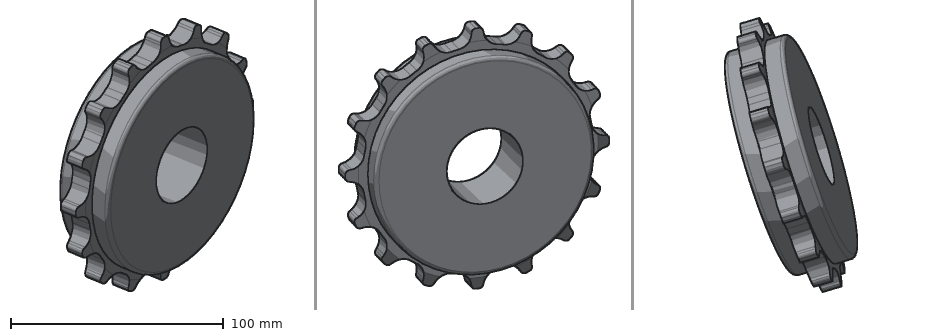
import cadquery as cq
import math

hub_width = 30.0
hub_radius = 55.1
hub_rim_fillet = 2.0
bore_radius = 19.0

tooth_count = 16
tip_radius = 66.0
root_radius = 57.7
seat_radius = 7.7
flank_length = 1.3
root_half_length = 1.8
tip_fillet = 2.1

tooth_width = 10.8
tip_width = 9.1
relief_start_radius = 60.0

hub_face = cq.Workplane("YZ", origin=(-hub_width / 2, 0, 0))
pitch_angle = 2 * math.pi / tooth_count


def polar(radius, angle):
    """Point in the profile plane."""
    return radius * math.cos(angle), radius * math.sin(angle)


def point_between(start, end, distance):
    """Point at a distance from start on the line towards end."""
    length = math.dist(start, end)
    return tuple(a + (b - a) * distance / length for a, b in zip(start, end))


def arc_middle(centre, start, end, radius):
    """Middle point of the shorter arc from start to end."""
    chord_middle = tuple((a + b) / 2 for a, b in zip(start, end))
    return point_between(centre, chord_middle, radius)


seat_centre_radius = root_radius + seat_radius
seat_angle = root_half_length / root_radius
fillet_centre_radius = tip_radius - tip_fillet
centre_distance = math.hypot(seat_radius + tip_fillet, flank_length)
flank_tilt = math.atan2(flank_length, seat_radius + tip_fillet)
fillet_angle = seat_angle + math.acos(
    (seat_centre_radius**2 + fillet_centre_radius**2 - centre_distance**2)
    / (2 * seat_centre_radius * fillet_centre_radius)
)


def half_gap(gap_angle, side):
    """Points from root to tip on one side (+1 or -1) of a gap, with arc middles in between."""
    seat_centre = polar(seat_centre_radius, gap_angle + side * seat_angle)
    fillet_centre = polar(fillet_centre_radius, gap_angle + side * fillet_angle)
    root_end = polar(root_radius, gap_angle + side * seat_angle)
    tip_start = polar(tip_radius, gap_angle + side * fillet_angle)

    centre_line_angle = math.atan2(fillet_centre[1] - seat_centre[1], fillet_centre[0] - seat_centre[0])
    normal_angle = centre_line_angle + side * flank_tilt
    normal_x, normal_y = polar(1, normal_angle)
    flank_start = (seat_centre[0] + seat_radius * normal_x, seat_centre[1] + seat_radius * normal_y)
    flank_end = (fillet_centre[0] - tip_fillet * normal_x, fillet_centre[1] - tip_fillet * normal_y)
    return [
        root_end,
        arc_middle(seat_centre, root_end, flank_start, seat_radius),
        flank_start,
        flank_end,
        arc_middle(fillet_centre, flank_end, tip_start, tip_fillet),
        tip_start,
    ]


def make_toothed_plate():
    """Tooth profile in the YZ plane, one tooth pointing along each axis."""
    first_gap = pitch_angle / 2
    plane = cq.Workplane("YZ", origin=(-tooth_width / 2, 0, 0))
    profile = plane.moveTo(*half_gap(first_gap, -1)[-1])
    for index in range(tooth_count):
        gap_angle = first_gap + index * pitch_angle
        _, fillet_in, high_in, low_in, seat_in, root_in = reversed(half_gap(gap_angle, -1))
        root_out, seat_out, low_out, high_out, fillet_out, tip_out = half_gap(gap_angle, 1)
        next_tip = half_gap(gap_angle + pitch_angle, -1)[-1]
        tooth_middle = polar(tip_radius, gap_angle + pitch_angle / 2)
        profile = (
            profile.threePointArc(fillet_in, high_in)
            .lineTo(*low_in)
            .threePointArc(seat_in, root_in)
            .threePointArc(polar(root_radius, gap_angle), root_out)
            .threePointArc(seat_out, low_out)
            .lineTo(*high_out)
            .threePointArc(fillet_out, tip_out)
            .threePointArc(tooth_middle, next_tip)
        )
    return profile.close().extrude(tooth_width)


def make_relief_envelope():
    """Solid of revolution whose conical side faces taper from the relief radius to the tip."""
    half_width = tooth_width / 2
    half_tip = tip_width / 2
    outline = [
        (-half_width, 0),
        (-half_width, relief_start_radius),
        (-half_tip, tip_radius),
        (half_tip, tip_radius),
        (half_width, relief_start_radius),
        (half_width, 0),
    ]
    return cq.Workplane("XY").polyline(outline).close().revolve(360, (0, 0, 0), (1, 0, 0))


def make_hub():
    """Disc with both outer rims rounded."""
    disc = hub_face.circle(hub_radius).extrude(hub_width)
    return disc.faces("<X or >X").edges().fillet(hub_rim_fillet)


teeth = make_toothed_plate().intersect(make_relief_envelope())
bore = hub_face.circle(bore_radius).extrude(hub_width)

result = make_hub().union(teeth).cut(bore)